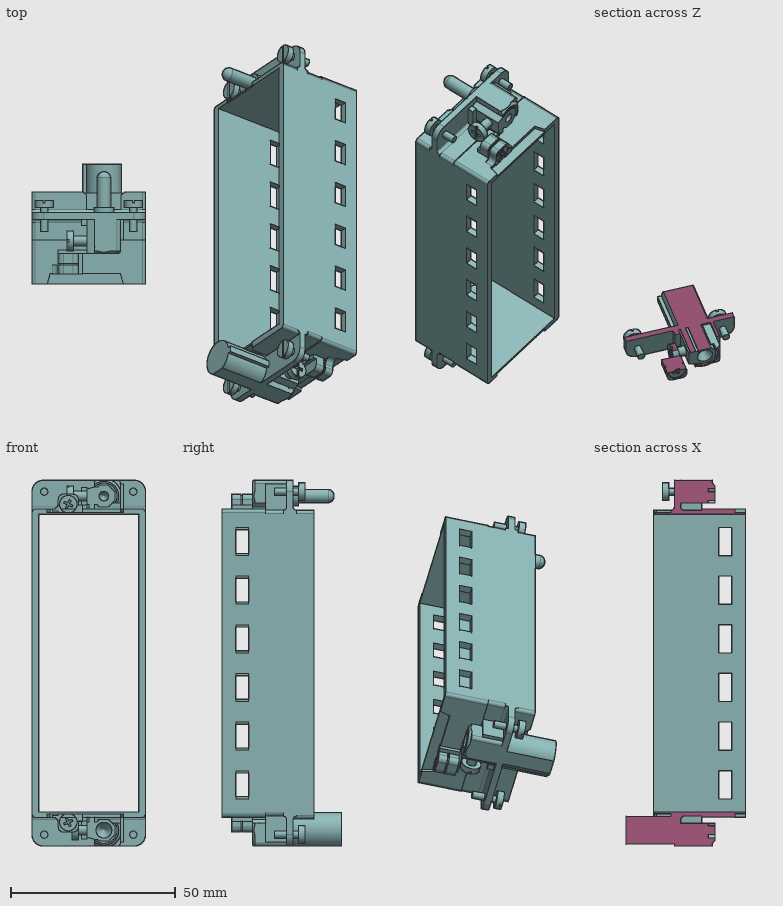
import cadquery as cq
import math

WIDTH = 34.5
HEIGHT = 111.0
FRAME_DEPTH = 28.0
FRONT_HALF_HEIGHT = 46.75
REAR_HALF_HEIGHT = 46.4
LOWER_BACK_HEIGHT = 47.2
STEP_Y = 13.3
OPENING_WIDTH = 30.3
OPENING_HALF_HEIGHT = 45.1
FRAME_CORNER_RADIUS = 1.0
THIN_HALF_HEIGHT = 45.7

FRONT_NOTCH_DEPTH = 3.2
FRONT_NOTCH_LEFT = -11.7
FRONT_NOTCH_RIGHT = 9.6
FRONT_NOTCH_FLARE = 0.9

WINDOW_COUNT = 6
WINDOW_PITCH = 14.75
WINDOW_Y = 6.2
WINDOW_DEPTH = 3.8
LEFT_WINDOW_HEIGHT = 7.1
RIGHT_WINDOW_HEIGHT = 8.5

FLANGE_FRONT = 19.65
FLANGE_THICKNESS = 2.0
FLANGE_BACK = FLANGE_FRONT + FLANGE_THICKNESS
FLANGE_CORNER_RADIUS = 3.5
ROOT_RADIUS = 1.0
FLANGE_TOP = HEIGHT / 2

SCREW_X = 13.5
SCREW_Z = 52.0
SCREW_SHANK_RADIUS = 1.1
SCREW_HEAD_RADIUS = 2.75
SCREW_TIP_Y = 15.95
SCREW_HEAD_FRONT = 23.3
SCREW_HEAD_BACK = 25.3
SCREW_SLOT_WIDTH = 0.6
SCREW_SLOT_DEPTH = 0.7

AXIS_X = 4.6
AXIS_Z = 50.65
TERMINAL_FRONT = 9.3
BLOCK_LEFT = -0.5
BLOCK_BOTTOM = 48.1
BLOCK_TOP_LEFT = 52.8
BLOCK_APOTHEM = 3.3
HOOD_LEFT = 1.8
HOOD_RIGHT = 9.6
HOOD_BOTTOM = 48.5
HOOD_UNDERSIDE = 53.45
HOOD_CORNER_RADIUS = 1.0
HOOD_BEVEL_RADIUS = 4.5
HOOD_BEVEL = 0.8
RIB_RIGHT = 10.6
RIB_TOP = 54.3
CLEARANCE_RADIUS = 4.0
CLEARANCE_DEPTH = 2.0
FIN_LEFT = -2.2
FIN_FRONT = 17.8
FIN_TOP = 53.3
PAD_LEFT = 0.0

CLAMP_Y = 13.1
CLAMP_SHANK_RADIUS = 1.5
CLAMP_HEAD_RADIUS = 3.0
UPPER_CLAMP_HEAD_LEFT = -6.6
LOWER_CLAMP_HEAD_LEFT = -5.1
CLAMP_HEAD_THICKNESS = 2.0
CLAMP_SLOT_WIDTH = 0.8
CLAMP_SLOT_LENGTH = 5.6
CLAMP_CROSS_LENGTH = 3.4
CLAMP_CROSS_WIDTH = 0.8
CLAMP_SLOT_DEPTH = 0.6

WIRE_X = -6.2
WIRE_Z = 48.2
WIRE_FRONT = 3.0
WIRE_HALF_WIDTH = 3.05
WIRE_CORNER_RADIUS = 1.6
WIRE_SCREW_RADIUS = 2.65
WIRE_RECESS_DEPTH = 0.3
WIRE_CROSS_LENGTH = 2.8
WIRE_CROSS_WIDTH = 0.6
WIRE_CROSS_ANGLE = 25.0
WIRE_GROOVE_Y = 5.75
WIRE_GROOVE_WIDTH = 0.5
WIRE_GROOVE_DEPTH = 0.35
WIRE_FOOT_RIGHT = -1.9
WIRE_FOOT_TOP = 48.0
WIRE_PLATE_BACK = 10.4
WIRE_PLATE_RIGHT = -0.5
WIRE_PLATE_TOP = 47.9
WIRE_ROOT_RADIUS = 1.7

PIN_RADIUS = 2.08
PIN_SHOULDER_Y = 32.3
PIN_TIP_Y = 34.1
COLLAR_RADIUS = 3.05
COLLAR_BACK = 23.3
PIN_HOLE_RADIUS = 1.45
PIN_HOLE_DEPTH = 3.0
SOCKET_END = 36.35
SOCKET_RADIUS = 5.4
SOCKET_KEY_LEFT = -1.85
SOCKET_KEY_WIDTH = 2.0
SOCKET_HOLE_RADIUS = 2.4
SOCKET_HOLE_DEPTH = 4.0

REAR_NOTCH_LEFT = -0.65
REAR_NOTCH_RIGHT = 9.85
REAR_NOTCH_FLARE = 1.0
REAR_TRIM = 0.35

EMBED = 0.6
SEAT_Z = FRONT_HALF_HEIGHT - EMBED


def block(x0, x1, y0, y1, z0, z1):
    """Box between two opposite corners."""
    return cq.Workplane("XY").box(x1 - x0, y1 - y0, z1 - z0, centered=False).translate((x0, y0, z0))


def rod_y(x, z, radius, y0, y1):
    """Cylinder along +Y from y0 to y1."""
    return cq.Workplane(cq.Solid.makeCylinder(radius, y1 - y0, cq.Vector(x, y0, z), cq.Vector(0, 1, 0)))


def cone_y(front_radius, back_radius, z, y, length):
    """Cone on the guide axis at height z, running along +Y from y."""
    cone = cq.Solid.makeCone(front_radius, back_radius, length, cq.Vector(AXIS_X, y, z), cq.Vector(0, 1, 0))
    return cq.Workplane(cone)


def rod_x(y, z, radius, x0, x1):
    """Cylinder along +X from x0 to x1."""
    return cq.Workplane(cq.Solid.makeCylinder(radius, x1 - x0, cq.Vector(x0, y, z), cq.Vector(1, 0, 0)))


def prism_y(points, y0, y1):
    """Polygon given as (x, z) points, extruded from y0 to y1."""
    return cq.Workplane("XZ", origin=(0, y0, 0)).polyline(points).close().extrude(y0 - y1)


def tube_section(half_height, y0, y1):
    body = block(-WIDTH / 2, WIDTH / 2, y0, y1, -half_height, half_height)
    return body.edges("|Y").fillet(FRAME_CORNER_RADIUS)


def make_frame():
    front = tube_section(FRONT_HALF_HEIGHT, 0, STEP_Y)
    rear = tube_section(REAR_HALF_HEIGHT, STEP_Y, FRAME_DEPTH)
    opening = block(
        -OPENING_WIDTH / 2, OPENING_WIDTH / 2, 0, FRAME_DEPTH, -OPENING_HALF_HEIGHT, OPENING_HALF_HEIGHT
    )
    back_edge = block(-WIDTH / 2, WIDTH / 2, FLANGE_BACK, FRAME_DEPTH, -LOWER_BACK_HEIGHT, 0)
    back_edge = back_edge.edges("|Y and <Z").fillet(FRAME_CORNER_RADIUS)
    return front.union(rear).union(back_edge).cut(opening)


def cut_windows(body):
    wall_middle = (WIDTH + OPENING_WIDTH) / 4
    cut_width = WIDTH - OPENING_WIDTH
    for side, height in ((-1, LEFT_WINDOW_HEIGHT), (1, RIGHT_WINDOW_HEIGHT)):
        for i in range(WINDOW_COUNT):
            z = (i - (WINDOW_COUNT - 1) / 2) * WINDOW_PITCH
            window = cq.Workplane("XY").box(cut_width, WINDOW_DEPTH, height)
            body = body.cut(window.translate((side * wall_middle, WINDOW_Y, z)))
    return body


def end_wall_relief():
    """Material removed from the upper end wall: front notch and rear notch."""
    plan = cq.Workplane("XY", origin=(0, 0, THIN_HALF_HEIGHT))
    depth = FLANGE_TOP - THIN_HALF_HEIGHT
    front_notch = (
        plan.moveTo(FRONT_NOTCH_LEFT - FRONT_NOTCH_FLARE, 0)
        .lineTo(FRONT_NOTCH_LEFT, FRONT_NOTCH_DEPTH)
        .lineTo(FRONT_NOTCH_RIGHT, FRONT_NOTCH_DEPTH)
        .lineTo(FRONT_NOTCH_RIGHT + FRONT_NOTCH_FLARE, 0)
        .close()
        .extrude(depth)
    )
    rear_notch = (
        plan.moveTo(REAR_NOTCH_LEFT, FLANGE_BACK)
        .lineTo(REAR_NOTCH_LEFT, FRAME_DEPTH - REAR_NOTCH_FLARE)
        .lineTo(REAR_NOTCH_LEFT - REAR_NOTCH_FLARE, FRAME_DEPTH)
        .lineTo(REAR_NOTCH_RIGHT + REAR_NOTCH_FLARE, FRAME_DEPTH)
        .lineTo(REAR_NOTCH_RIGHT, FRAME_DEPTH - REAR_NOTCH_FLARE)
        .lineTo(REAR_NOTCH_RIGHT, FLANGE_BACK)
        .close()
        .extrude(depth)
    )
    rear_trim = block(
        REAR_NOTCH_LEFT - REAR_NOTCH_FLARE,
        REAR_NOTCH_RIGHT + REAR_NOTCH_FLARE,
        FRAME_DEPTH - REAR_TRIM,
        FRAME_DEPTH,
        OPENING_HALF_HEIGHT,
        FLANGE_TOP,
    )
    return front_notch.union(rear_notch).union(rear_trim)


def make_flange():
    """Upper flange: plate with rounded outer corners and filleted roots on the end wall."""
    root_bottom = REAR_HALF_HEIGHT - FRAME_CORNER_RADIUS
    profile = (
        cq.Workplane("YZ", origin=(-WIDTH / 2, 0, 0))
        .moveTo(FLANGE_FRONT - ROOT_RADIUS, root_bottom)
        .lineTo(FLANGE_FRONT - ROOT_RADIUS, REAR_HALF_HEIGHT)
        .radiusArc((FLANGE_FRONT, REAR_HALF_HEIGHT + ROOT_RADIUS), -ROOT_RADIUS)
        .lineTo(FLANGE_FRONT, FLANGE_TOP)
        .lineTo(FLANGE_BACK, FLANGE_TOP)
        .lineTo(FLANGE_BACK, REAR_HALF_HEIGHT + ROOT_RADIUS)
        .radiusArc((FLANGE_BACK + ROOT_RADIUS, REAR_HALF_HEIGHT), -ROOT_RADIUS)
        .lineTo(FLANGE_BACK + ROOT_RADIUS, root_bottom)
        .close()
        .extrude(WIDTH)
    )
    outline = block(-WIDTH / 2, WIDTH / 2, 0, FRAME_DEPTH, 0, FLANGE_TOP)
    outline = outline.edges("|Y and >Z").fillet(FLANGE_CORNER_RADIUS)
    opening = block(-OPENING_WIDTH / 2, OPENING_WIDTH / 2, 0, FRAME_DEPTH, 0, OPENING_HALF_HEIGHT)
    return profile.intersect(outline).cut(opening)


def mounting_screw(x):
    shank = rod_y(x, SCREW_Z, SCREW_SHANK_RADIUS, SCREW_TIP_Y, SCREW_HEAD_BACK - SCREW_SLOT_DEPTH)
    head = rod_y(x, SCREW_Z, SCREW_HEAD_RADIUS, SCREW_HEAD_FRONT, SCREW_HEAD_BACK)
    slot = block(
        x - SCREW_SLOT_WIDTH / 2,
        x + SCREW_SLOT_WIDTH / 2,
        SCREW_HEAD_BACK - SCREW_SLOT_DEPTH,
        SCREW_HEAD_BACK,
        SCREW_Z - SCREW_HEAD_RADIUS,
        SCREW_Z + SCREW_HEAD_RADIUS,
    )
    return head.cut(slot).union(shank)


def make_hood():
    """Housing over the clamp block, with a conical front rim and a clearance ring around the nose."""
    hood = prism_y(
        [
            (HOOD_LEFT, HOOD_UNDERSIDE),
            (HOOD_LEFT, FLANGE_TOP),
            (HOOD_RIGHT, FLANGE_TOP),
            (HOOD_RIGHT, HOOD_BOTTOM),
            (AXIS_X, HOOD_BOTTOM),
            (AXIS_X, HOOD_UNDERSIDE),
        ],
        TERMINAL_FRONT,
        FLANGE_FRONT,
    )
    hood = hood.edges("|Y and >Z and >X").fillet(HOOD_CORNER_RADIUS)
    clearance = rod_y(AXIS_X, AXIS_Z, CLEARANCE_RADIUS, TERMINAL_FRONT, TERMINAL_FRONT + CLEARANCE_DEPTH)
    bevel_end = TERMINAL_FRONT + HOOD_BEVEL
    rim = block(HOOD_LEFT, HOOD_RIGHT, TERMINAL_FRONT, bevel_end, HOOD_BOTTOM, FLANGE_TOP)
    cone = cone_y(HOOD_BEVEL_RADIUS, HOOD_BEVEL_RADIUS + HOOD_BEVEL, AXIS_Z, TERMINAL_FRONT, HOOD_BEVEL)
    return hood.cut(clearance).cut(rim.cut(cone))


def make_terminal():
    octagon_radius = BLOCK_APOTHEM / math.cos(math.pi / 8)
    octagon = [
        (
            AXIS_X + octagon_radius * math.cos((k + 0.5) * math.pi / 4),
            AXIS_Z + octagon_radius * math.sin((k + 0.5) * math.pi / 4),
        )
        for k in range(8)
    ]
    nose = prism_y(octagon, TERMINAL_FRONT, FLANGE_FRONT)
    shoulder = prism_y(
        [
            (BLOCK_LEFT, BLOCK_BOTTOM),
            (BLOCK_LEFT, BLOCK_TOP_LEFT),
            (HOOD_LEFT, HOOD_UNDERSIDE),
            (AXIS_X, HOOD_UNDERSIDE),
            (AXIS_X, BLOCK_BOTTOM),
        ],
        TERMINAL_FRONT,
        FLANGE_FRONT,
    )
    rib = block(HOOD_RIGHT, RIB_RIGHT, STEP_Y, FLANGE_FRONT, SEAT_Z, RIB_TOP)
    fin = block(FIN_LEFT, BLOCK_LEFT, FIN_FRONT, FLANGE_FRONT, SEAT_Z, FIN_TOP)
    pad = block(PAD_LEFT, HOOD_LEFT, TERMINAL_FRONT, FLANGE_FRONT, SEAT_Z, BLOCK_BOTTOM)
    return make_hood().union(nose).union(shoulder).union(rib).union(fin).union(pad)


def make_clamp_screw(head_left):
    head_right = head_left + CLAMP_HEAD_THICKNESS
    head = rod_x(CLAMP_Y, AXIS_Z, CLAMP_HEAD_RADIUS, head_left, head_right)
    shank = rod_x(CLAMP_Y, AXIS_Z, CLAMP_SHANK_RADIUS, head_right, BLOCK_LEFT + EMBED)
    slot = cq.Workplane("XY").box(2 * CLAMP_SLOT_DEPTH, CLAMP_SLOT_WIDTH, CLAMP_SLOT_LENGTH)
    cross = cq.Workplane("XY").box(2 * CLAMP_SLOT_DEPTH, CLAMP_CROSS_LENGTH, CLAMP_CROSS_WIDTH)
    recess = slot.union(cross).translate((head_left, CLAMP_Y, AXIS_Z))
    return head.cut(recess).union(shank)


def make_wire_clamp():
    left = WIRE_X - WIRE_HALF_WIDTH
    right = WIRE_X + WIRE_HALF_WIDTH
    top = WIRE_Z + WIRE_HALF_WIDTH
    floor = (THIN_HALF_HEIGHT + OPENING_HALF_HEIGHT) / 2
    body = block(left, right, WIRE_FRONT, TERMINAL_FRONT, floor, top)
    body = body.edges("|Y and >Z").fillet(WIRE_CORNER_RADIUS)

    groove_end = WIRE_GROOVE_Y + WIRE_GROOVE_WIDTH
    ring = block(left, right, WIRE_GROOVE_Y, groove_end, floor, top)
    core = block(
        left + WIRE_GROOVE_DEPTH,
        right - WIRE_GROOVE_DEPTH,
        WIRE_GROOVE_Y,
        groove_end,
        floor,
        top - WIRE_GROOVE_DEPTH,
    )
    core = core.edges("|Y and >Z").fillet(WIRE_CORNER_RADIUS - WIRE_GROOVE_DEPTH)
    body = body.cut(ring.cut(core))

    recess_floor = WIRE_FRONT + WIRE_RECESS_DEPTH
    body = body.cut(rod_y(WIRE_X, WIRE_Z, WIRE_SCREW_RADIUS, WIRE_FRONT, recess_floor))
    for turn in (0, 90):
        arm = cq.Workplane("XY").box(WIRE_CROSS_LENGTH, 2 * WIRE_CROSS_WIDTH, WIRE_CROSS_WIDTH)
        arm = arm.rotate((0, 0, 0), (0, 1, 0), WIRE_CROSS_ANGLE + turn)
        body = body.cut(arm.translate((WIRE_X, recess_floor, WIRE_Z)))

    root = (
        cq.Workplane("XZ", origin=(0, WIRE_FRONT, 0))
        .moveTo(left - WIRE_ROOT_RADIUS, FRONT_HALF_HEIGHT)
        .radiusArc((left, FRONT_HALF_HEIGHT + WIRE_ROOT_RADIUS), -WIRE_ROOT_RADIUS)
        .lineTo(left + WIRE_GROOVE_DEPTH, FRONT_HALF_HEIGHT + WIRE_ROOT_RADIUS)
        .lineTo(left + WIRE_GROOVE_DEPTH, SEAT_Z)
        .lineTo(left - WIRE_ROOT_RADIUS, SEAT_Z)
        .close()
        .extrude(WIRE_FRONT - WIRE_GROOVE_Y)
    )
    foot = block(right, WIRE_FOOT_RIGHT, WIRE_FRONT, TERMINAL_FRONT, floor, WIRE_FOOT_TOP)
    plate = block(left, WIRE_PLATE_RIGHT, TERMINAL_FRONT, WIRE_PLATE_BACK, SEAT_Z, WIRE_PLATE_TOP)
    return body.union(root).union(foot).union(plate)


def make_end(clamp_head_left):
    """Everything carried by one end, built at the upper end, except the guide part."""
    end = make_flange().union(make_terminal())
    end = end.union(make_clamp_screw(clamp_head_left)).union(make_wire_clamp())
    for x in (-SCREW_X, SCREW_X):
        end = end.union(mounting_screw(x))
    return end


def guide_pin():
    collar = rod_y(AXIS_X, AXIS_Z, COLLAR_RADIUS, FLANGE_BACK - EMBED, COLLAR_BACK)
    shaft = rod_y(AXIS_X, AXIS_Z, PIN_RADIUS, FLANGE_BACK, PIN_SHOULDER_Y)
    tip_height = PIN_TIP_Y - PIN_SHOULDER_Y
    tip_radius = (PIN_RADIUS**2 + tip_height**2) / (2 * tip_height)
    ball = cq.Workplane("XY").sphere(tip_radius).translate((AXIS_X, PIN_TIP_Y - tip_radius, AXIS_Z))
    tip = rod_y(AXIS_X, AXIS_Z, PIN_RADIUS, PIN_SHOULDER_Y, PIN_TIP_Y).intersect(ball)
    return collar.union(shaft).union(tip)


def guide_socket():
    barrel = rod_y(AXIS_X, -AXIS_Z, SOCKET_RADIUS, FLANGE_BACK - EMBED, SOCKET_END)
    key = block(
        SOCKET_KEY_LEFT,
        AXIS_X,
        FLANGE_BACK - EMBED,
        SOCKET_END,
        -AXIS_Z - SOCKET_KEY_WIDTH / 2,
        -AXIS_Z + SOCKET_KEY_WIDTH / 2,
    )
    reach = 2 * SOCKET_RADIUS
    below_flange = block(-WIDTH, WIDTH, 0, SOCKET_END, -FLANGE_TOP - reach, -FLANGE_TOP)
    return barrel.union(key).cut(below_flange)


upper_end = make_end(UPPER_CLAMP_HEAD_LEFT)
lower_end = make_end(LOWER_CLAMP_HEAD_LEFT).mirror("XY")
relief = end_wall_relief()

result = cut_windows(make_frame())
result = result.cut(relief).cut(relief.mirror("XY"))
result = result.union(upper_end).union(lower_end)
result = result.union(guide_pin()).union(guide_socket())
result = result.cut(cone_y(PIN_HOLE_RADIUS, 0, AXIS_Z, TERMINAL_FRONT, PIN_HOLE_DEPTH))
result = result.cut(cone_y(SOCKET_HOLE_RADIUS, 0, -AXIS_Z, TERMINAL_FRONT, SOCKET_HOLE_DEPTH))